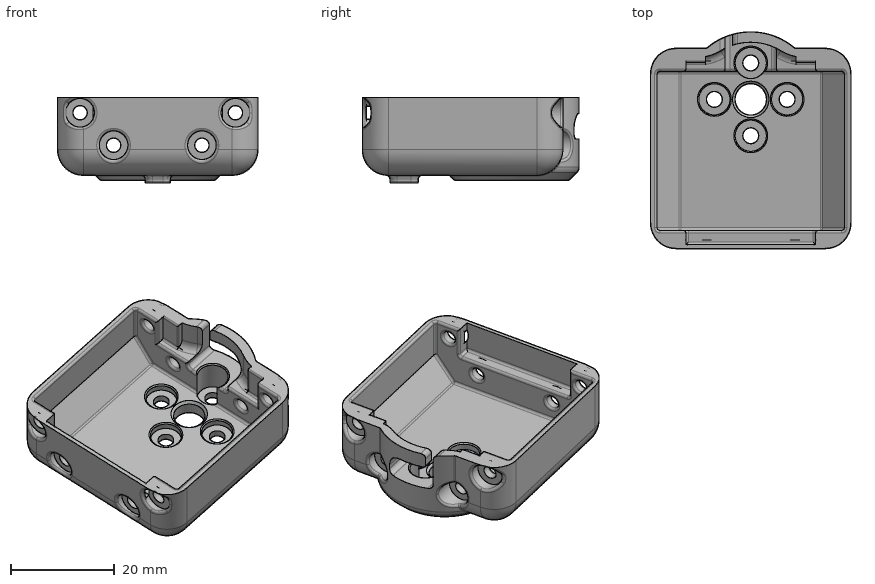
import cadquery as cq
import math


width = 38.6
length = 38.6
height = 15.0
outer_radius = 5.0
front_y = -28.75
rear_y = front_y + length

overcut = 2.0
tolerance = 1e-4
head_room = 2.0

cavity_half_width = 18.0
cavity_front_y = -25.2
cavity_rear_y = 5.35
floor_z = 2.0
floor_half_width = 13.7
ramp_height = 5.2
cavity_fillet = 0.5

boss_radius = 13.0
boss_drop = 1.0
boss_chamfer = 2.0
boss_upper_round = 1.5
boss_lower_round = 0.7
boss_blend = 0.4

tab_width = 4.9
tab_length = 5.5
tab_center_y = -20.7
tab_drop = 1.5
tab_corner_radius = 1.4
tab_edge_round = 0.3
tab_base_fillet = 0.7

recess_half_width = 12.5
front_recess_y = -27.95
front_recess_fillet = 0.5
shelf_depth = 6.4
rear_recess_y = 7.1
rear_recess_fillet = 0.4
edge_round = 0.3
bulge_pocket_half_width = 8.7
bulge_pocket_radius = 11.0
bulge_pocket_shoulder_y = 8.1
bulge_pocket_blend = 8.5
bulge_pocket_fillet = 1.5

channel_half_width = 4.95
channel_depth = 8.0
channel_fillet = 1.0
arm_thickness = 3.1
arm_end_x = -3.55
arm_top_round = 1.0
arm_bottom_round = 0.5
arm_root_radius = 3.0

center_hole_diameter = 6.0
center_hole_chamfer = 0.5
horn_circle_radius = 7.0
horn_hole_diameter = 3.0
horn_bore_diameter = 6.0
horn_bore_chamfer = 0.25
horn_bore_depth = 1.5

screw_hole_diameter = 2.7
screw_head_diameter = 5.5
screw_mouth_round = 0.5
front_seat_y = -27.1
rear_seat_y = 7.4
upper_screw_x = 14.95
upper_screw_z = height - 2.95
lower_screw_x = 8.5
lower_screw_z = height - 9.2


def block(x0, x1, y0, y1, z0, z1):
    """Box between two opposite corners."""
    return cq.Workplane("XY").box(x1 - x0, y1 - y0, z1 - z0, centered=False).translate((x0, y0, z0))


def make_shell():
    shell = block(-width / 2, width / 2, front_y, rear_y, 0, height + head_room)
    return shell.edges("|Z").fillet(outer_radius).faces("<Z").edges().fillet(outer_radius)


def make_boss():
    boss_height = height + head_room + boss_drop
    boss = cq.Workplane("XY").workplane(offset=-boss_drop).circle(boss_radius).extrude(boss_height)
    boss = boss.faces("<Z").edges().chamfer(boss_chamfer)
    boss = boss.faces("<Z").edges().fillet(boss_lower_round)
    shoulder_z = boss_chamfer - boss_drop
    near = 0.1
    shoulder = cq.selectors.BoxSelector(
        (-2 * boss_radius, -2 * boss_radius, shoulder_z - near),
        (2 * boss_radius, 2 * boss_radius, shoulder_z + near),
    )
    boss = boss.edges(shoulder).edges("%CIRCLE").fillet(boss_upper_round)
    return boss.rotate((0, 0, 0), (0, 0, 1), 90)


def seam_between(joined, first, second):
    """Edges of a joined solid that lie on the skins of both solids it was made from."""
    first_skin = first.val().Shells()[0]
    second_skin = second.val().Shells()[0]

    def on_both(edge):
        middle = cq.Vertex.makeVertex(*edge.positionAt(0.5).toTuple())
        return max(middle.distance(first_skin), middle.distance(second_skin)) < tolerance

    return joined.edges().filter(on_both)


def make_tab():
    tab = cq.Workplane("XY").box(tab_width, tab_length, tab_drop + floor_z)
    tab = tab.translate((0, tab_center_y, (floor_z - tab_drop) / 2))
    tab = tab.edges("|Z").fillet(tab_corner_radius)
    return tab.faces("<Z").edges().fillet(tab_edge_round)


def make_head_bore(x, z, seat_y, outward):
    """Cylinder along Y that starts at the screw seat and runs out of the wall."""
    bore = cq.Workplane("XZ", origin=(x, seat_y, z)).circle(screw_head_diameter / 2)
    return bore.extrude(-outward * boss_radius)


def cut_head_bore(body, bore):
    opened = body.cut(bore)
    return seam_between(opened, body, bore).fillet(screw_mouth_round)


def make_body():
    """Solid outside of the tray; the rim is trimmed after the bores near it are rounded."""
    shell = make_shell()
    boss = make_boss()
    body = shell.union(boss)
    body = seam_between(body, shell, boss).fillet(boss_blend)
    tab = make_tab()
    joined = body.union(tab)
    body = seam_between(joined, body, tab).fillet(tab_base_fillet)
    for side in (-1, 1):
        for x, z in ((upper_screw_x, upper_screw_z), (lower_screw_x, lower_screw_z)):
            body = cut_head_bore(body, make_head_bore(side * x, z, front_seat_y, -1))
            body = cut_head_bore(body, make_head_bore(side * x, z, rear_seat_y, 1))
    return body.cut(block(-width, width, -length, length, height, height + 2 * head_room))


def make_cavity():
    """Room of the tray: upright walls, with ramps down to the floor at both sides."""
    ramp_top_z = floor_z + ramp_height
    cavity = (
        cq.Workplane("XZ", origin=(0, cavity_rear_y, 0))
        .moveTo(-cavity_half_width, height)
        .lineTo(-cavity_half_width, ramp_top_z)
        .lineTo(-floor_half_width, floor_z)
        .lineTo(floor_half_width, floor_z)
        .lineTo(cavity_half_width, ramp_top_z)
        .lineTo(cavity_half_width, height)
        .close()
        .extrude(cavity_rear_y - cavity_front_y)
    )
    return cavity.edges("not(>Z or (#Z and >X) or (#Z and <X))").fillet(cavity_fillet)


def make_bulge_pocket():
    """Rear pocket that follows the bulge and flares out to a straight shoulder on each side."""
    blend_center_y = bulge_pocket_shoulder_y + bulge_pocket_blend
    center_distance = bulge_pocket_radius + bulge_pocket_blend
    blend_center_x = math.sqrt(center_distance**2 - blend_center_y**2)
    tangent_x = bulge_pocket_radius * blend_center_x / center_distance
    tangent_y = bulge_pocket_radius * blend_center_y / center_distance
    half_angle = math.atan2(blend_center_x, blend_center_y) / 2
    middle_x = blend_center_x - bulge_pocket_blend * math.sin(half_angle)
    middle_y = blend_center_y - bulge_pocket_blend * math.cos(half_angle)
    floor = height - shelf_depth
    outline = (
        cq.Workplane("XY", origin=(0, 0, floor))
        .moveTo(-recess_half_width, 0)
        .lineTo(-recess_half_width, bulge_pocket_shoulder_y)
        .lineTo(-blend_center_x, bulge_pocket_shoulder_y)
        .threePointArc((-middle_x, middle_y), (-tangent_x, tangent_y))
        .threePointArc((0, bulge_pocket_radius), (tangent_x, tangent_y))
        .threePointArc((middle_x, middle_y), (blend_center_x, bulge_pocket_shoulder_y))
        .lineTo(recess_half_width, bulge_pocket_shoulder_y)
        .lineTo(recess_half_width, 0)
        .close()
    )
    pocket = outline.extrude(shelf_depth)
    pocket = pocket.faces("<Z").edges("not(|Y or <Y)").fillet(bulge_pocket_fillet)
    clip_x = bulge_pocket_half_width
    clip = block(-clip_x, clip_x, cavity_rear_y - cavity_fillet, boss_radius, floor, height)
    return pocket.intersect(clip)


def make_rear_recess():
    recess = block(
        -recess_half_width, recess_half_width, cavity_rear_y - cavity_fillet, rear_recess_y,
        height - shelf_depth, height,
    )
    return recess.edges(">Y and <Z").fillet(rear_recess_fillet)


def make_front_recess():
    recess = block(
        -recess_half_width, recess_half_width, front_recess_y, cavity_front_y + cavity_fillet,
        height - shelf_depth, height,
    )
    return recess.faces("<Z").edges("not >Y").fillet(front_recess_fillet)


def make_channel():
    """Cutter along Y: the channel, the window under the arm and the gap beside the arm's end."""
    floor = height - channel_depth
    roof = height - arm_thickness
    wall = channel_half_width

    def rounding(radius):
        return radius * (1 - math.sqrt(0.5))

    low = rounding(channel_fillet)
    root = rounding(arm_root_radius)
    lip = rounding(arm_top_round)
    toe = rounding(arm_bottom_round)
    profile = (
        cq.Workplane("XZ", origin=(0, boss_radius + overcut, 0))
        .moveTo(-wall + channel_fillet, floor)
        .lineTo(wall - channel_fillet, floor)
        .threePointArc((wall - low, floor + low), (wall, floor + channel_fillet))
        .lineTo(wall, roof - arm_root_radius)
        .threePointArc((wall - root, roof - root), (wall - arm_root_radius, roof))
        .lineTo(arm_end_x + arm_bottom_round, roof)
        .threePointArc((arm_end_x + toe, roof + toe), (arm_end_x, roof + arm_bottom_round))
        .lineTo(arm_end_x, height - arm_top_round)
        .threePointArc((arm_end_x + lip, height - lip), (arm_end_x + arm_top_round, height))
        .lineTo(-wall - arm_top_round, height)
        .threePointArc((-wall - lip, height - lip), (-wall, height - arm_top_round))
        .lineTo(-wall, floor + channel_fillet)
        .threePointArc((-wall + low, floor + low), (-wall + channel_fillet, floor))
        .close()
    )
    return profile.extrude(boss_radius + overcut - cavity_rear_y + cavity_fillet)


def round_pocket_lips(body):
    """Round the rim of the cavity and the edges where pockets open into its front and rear walls."""
    front_lip = cq.selectors.BoxSelector(
        (-cavity_half_width, cavity_front_y - tolerance, height - channel_depth - tolerance),
        (cavity_half_width, cavity_front_y + tolerance, height + tolerance),
        boundingbox=True,
    )
    rear_lip = cq.selectors.BoxSelector(
        (-cavity_half_width, cavity_rear_y - tolerance, height - channel_depth - tolerance),
        (cavity_half_width, cavity_rear_y + tolerance, height + tolerance),
        boundingbox=True,
    )
    return body.edges(front_lip + rear_lip).fillet(cavity_fillet)


def round_recess_edges(body):
    """Round the rear recess at the rim, and the upright corners between it and the bulge pocket."""
    rim = cq.selectors.BoxSelector(
        (-recess_half_width - tolerance, rear_recess_y - tolerance, height - tolerance),
        (recess_half_width + tolerance, rear_recess_y + tolerance, height + tolerance),
        boundingbox=True,
    )
    body = body.edges(rim).fillet(edge_round)
    corner_x = bulge_pocket_half_width
    corner_y = rear_recess_y
    base_z = height - shelf_depth + rear_recess_fillet
    for side in (-1, 1):
        waste = (
            cq.Workplane("XY", origin=(0, 0, base_z))
            .moveTo(side * corner_x, corner_y)
            .lineTo(side * (corner_x + edge_round), corner_y)
            .radiusArc((side * corner_x, corner_y + edge_round), side * edge_round)
            .close()
            .extrude(height - base_z)
        )
        body = body.cut(waste)
    return body


def cut_pockets(body):
    body = body.cut(make_cavity())
    body = body.cut(make_front_recess()).cut(make_bulge_pocket()).cut(make_rear_recess())
    body = round_recess_edges(body)
    return round_pocket_lips(body.cut(make_channel()))


def cut_floor_holes(body):
    """Centre hole with four counterbored holes around it."""
    bore_floor = floor_z - horn_bore_depth
    center_radius = center_hole_diameter / 2
    hole = cq.Workplane("XY", origin=(0, 0, -overcut)).circle(center_radius).extrude(height)
    countersink = cq.Solid.makeCone(
        center_radius, center_radius + center_hole_chamfer, center_hole_chamfer,
        cq.Vector(0, 0, floor_z - center_hole_chamfer),
    )
    body = body.cut(hole).cut(cq.Workplane(countersink))
    for x, y in ((1, 0), (0, 1), (-1, 0), (0, -1)):
        top_z = height - channel_depth if y > 0 else floor_z
        spot = (x * horn_circle_radius, y * horn_circle_radius)
        through = cq.Workplane("XY", origin=(*spot, -overcut)).circle(horn_hole_diameter / 2).extrude(height)
        bore_radius = horn_bore_diameter / 2
        bore = cq.Workplane("XY", origin=(*spot, bore_floor)).circle(bore_radius).extrude(top_z - bore_floor)
        flare = cq.Solid.makeCone(
            bore_radius, bore_radius + horn_bore_chamfer, horn_bore_chamfer,
            cq.Vector(*spot, top_z - horn_bore_chamfer),
        )
        body = body.cut(through).cut(bore).cut(cq.Workplane(flare))
    return body


def make_screw_hole(x, z, inner_y, outward):
    """Screw hole along Y with a rounded mouth at the cavity wall."""
    hole = screw_hole_diameter / 2
    mouth = hole + screw_mouth_round
    bend = screw_mouth_round * (1 - math.sqrt(0.5))
    profile = (
        cq.Workplane("XY")
        .moveTo(0, -overcut)
        .lineTo(mouth, -overcut)
        .lineTo(mouth, 0)
        .threePointArc((hole + bend, bend), (hole, screw_mouth_round))
        .lineTo(hole, boss_radius)
        .lineTo(0, boss_radius)
        .close()
    )
    cutter = profile.revolve(360, (0, 0, 0), (0, 1, 0))
    if outward < 0:
        cutter = cutter.mirror("XZ")
    return cutter.translate((x, inner_y, z))


def cut_screw_holes(body):
    for side in (-1, 1):
        for x, z in ((upper_screw_x, upper_screw_z), (lower_screw_x, lower_screw_z)):
            body = body.cut(make_screw_hole(side * x, z, cavity_front_y, -1))
            body = body.cut(make_screw_hole(side * x, z, cavity_rear_y, 1))
    return body


result = cut_screw_holes(cut_floor_holes(cut_pockets(make_body())))